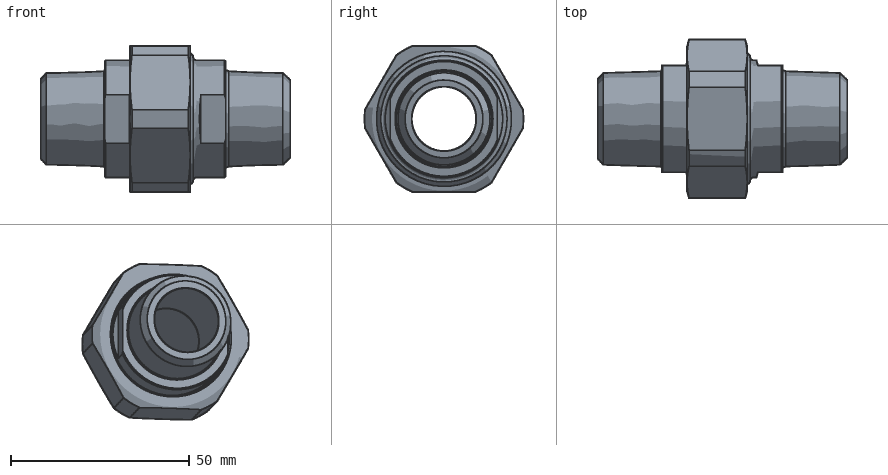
import cadquery as cq
import math

LENGTH = 70.0

TAPER_TIP_RADIUS = 25.8 / 2
TAPER_ROOT_RADIUS = 26.8 / 2
NECK_RADIUS = 27.5 / 2

COLLAR_RADIUS = 33.0 / 2
COLLAR_FACE_RADIUS = 16.1
FLAT_TO_FLAT = 30.0
FLAT_RUNOUT = 0.4

NUT_START = 25.0
NUT_END = 42.0
NUT_ACROSS_FLATS = 41.0
NUT_CORNER_RADIUS = 22.3
NUT_FACE_RADIUS = 20.15
NUT_CHAMFER_LENGTH = 0.6
NUT_LIP_LENGTH = 2.1
NUT_LIP_RADIUS = 33.5 / 2
NUT_LIP_CHAMFER = 0.5
NUT_BORE_RADIUS = 37.9 / 2

TAIL_BORE_RADIUS = 9.1
TAIL_MOUTH_CHAMFER = 0.15
TAIL_TIP_RADIUS = 11.2
TAIL_TIP_CHAMFER = 1.6
TAIL_TAPER_END = 17.65
TAIL_COLLAR_START = 18.0
TAIL_EDGE_CHAMFER = 0.2
TAIL_FLANGE_RADIUS = 18.2
TAIL_FLANGE_START = NUT_START + NUT_LIP_LENGTH
TAIL_FLAT_END = 24.8
JOINT = 30.8

BODY_BORE_RADIUS = 18.0 / 2
BODY_TIP_RADIUS = 10.9
BODY_TIP_CHAMFER = 2.1
BODY_TAPER_START = 52.8
BODY_COLLAR_END = 51.9
BODY_EDGE_CHAMFER = 0.35
BODY_SHOULDER = 42.8
BODY_SHOULDER_RADIUS = 17.7
BODY_FILLET = 0.9
BODY_FLAT_START = 44.95


def revolve_about_x(profile):
    """Revolve a closed XY profile, with Y as the radius, about the X axis."""
    return profile.close().revolve(360, (0, 0, 0), (1, 0, 0))


def cut_wrench_flats(blank, open_end, floor_end, direction):
    """Cut the +Y and -Y flats; direction is the X sense from the open end to the sloped run-out."""
    floor = FLAT_TO_FLAT / 2
    run_out = direction * FLAT_RUNOUT
    flat_side = cq.Workplane("XY").polyline([
        (open_end, floor),
        (floor_end, floor),
        (floor_end + run_out, COLLAR_RADIUS),
        (open_end, COLLAR_RADIUS),
    ]).close().extrude(COLLAR_RADIUS, both=True)
    return blank.cut(flat_side).cut(flat_side.mirror("XZ"))


def make_tailpiece():
    blank = revolve_about_x(cq.Workplane("XY").polyline([
        (TAIL_MOUTH_CHAMFER, TAIL_BORE_RADIUS),
        (0, TAIL_BORE_RADIUS + TAIL_MOUTH_CHAMFER),
        (0, TAIL_TIP_RADIUS),
        (TAIL_TIP_CHAMFER, TAPER_TIP_RADIUS),
        (TAIL_TAPER_END, TAPER_ROOT_RADIUS),
        (TAIL_COLLAR_START, NECK_RADIUS),
        (TAIL_COLLAR_START, COLLAR_FACE_RADIUS),
        (TAIL_COLLAR_START + TAIL_EDGE_CHAMFER, COLLAR_RADIUS),
        (TAIL_FLANGE_START, COLLAR_RADIUS),
        (TAIL_FLANGE_START, TAIL_FLANGE_RADIUS),
        (JOINT, TAIL_FLANGE_RADIUS),
        (JOINT, TAIL_BORE_RADIUS),
    ]))
    return cut_wrench_flats(blank, TAIL_COLLAR_START, TAIL_FLAT_END, 1)


def make_threaded_body():
    chamfer_start = BODY_SHOULDER - (NUT_BORE_RADIUS - BODY_SHOULDER_RADIUS)
    fillet_end = BODY_SHOULDER + BODY_FILLET
    fillet_top = COLLAR_RADIUS + BODY_FILLET
    fillet_sag = BODY_FILLET * math.sqrt(0.5)
    blank = revolve_about_x(
        cq.Workplane("XY").polyline([
            (JOINT, BODY_BORE_RADIUS),
            (JOINT, NUT_BORE_RADIUS),
            (chamfer_start, NUT_BORE_RADIUS),
            (BODY_SHOULDER, BODY_SHOULDER_RADIUS),
            (BODY_SHOULDER, fillet_top),
        ])
        .threePointArc(
            (fillet_end - fillet_sag, fillet_top - fillet_sag),
            (fillet_end, COLLAR_RADIUS),
        )
        .lineTo(BODY_COLLAR_END - BODY_EDGE_CHAMFER, COLLAR_RADIUS)
        .lineTo(BODY_COLLAR_END, COLLAR_FACE_RADIUS)
        .lineTo(BODY_COLLAR_END, NECK_RADIUS)
        .lineTo(BODY_TAPER_START, TAPER_ROOT_RADIUS)
        .lineTo(LENGTH - BODY_TIP_CHAMFER, TAPER_TIP_RADIUS)
        .lineTo(LENGTH, BODY_TIP_RADIUS)
        .lineTo(LENGTH, BODY_BORE_RADIUS)
    )
    return cut_wrench_flats(blank, BODY_COLLAR_END, BODY_FLAT_START, -1)


def make_nut():
    across_corners = NUT_ACROSS_FLATS / math.cos(math.pi / 6)
    hexagon = (
        cq.Workplane("YZ", origin=(NUT_START, 0, 0))
        .polygon(6, across_corners)
        .extrude(NUT_END - NUT_START)
    )
    envelope = revolve_about_x(cq.Workplane("XY").polyline([
        (NUT_START + NUT_LIP_CHAMFER, NUT_LIP_RADIUS),
        (NUT_START, NUT_LIP_RADIUS + NUT_LIP_CHAMFER),
        (NUT_START, NUT_FACE_RADIUS),
        (NUT_START + NUT_CHAMFER_LENGTH, NUT_CORNER_RADIUS),
        (NUT_END - NUT_CHAMFER_LENGTH, NUT_CORNER_RADIUS),
        (NUT_END, NUT_FACE_RADIUS),
        (NUT_END, NUT_BORE_RADIUS),
        (TAIL_FLANGE_START, NUT_BORE_RADIUS),
        (TAIL_FLANGE_START, NUT_LIP_RADIUS),
    ]))
    return hexagon.intersect(envelope)


tailpiece = make_tailpiece()
threaded_body = make_threaded_body()
nut = make_nut()

result = cq.Compound.makeCompound([
    tailpiece.solids().val(),
    threaded_body.solids().val(),
    nut.solids().val(),
])